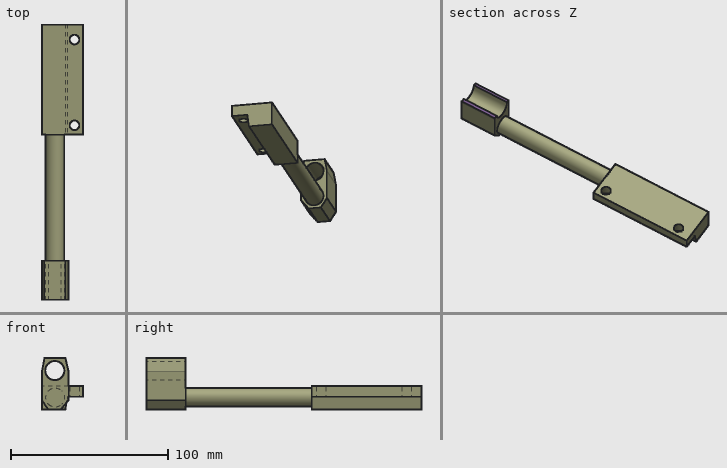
import cadquery as cq

overall_width = 26.24
overall_length = 175.0
overall_height = 32.78

head_length = 25.0
head_width = 17.0
top_taper_inset_left = 1.6
top_taper_inset_right = 2.0
top_taper_height = 8.5
bottom_chamfer_height = 6.0
bottom_chamfer_left = 4.0
bottom_chamfer_right = 5.0
head_bore_diameter = 12.0
head_bore_depth_below_top = 8.0

block_length = 70.0
block_height = 15.0
block_bottom_width = 15.0
block_width_under_flange = 16.24
flange_thickness = 7.0
mount_hole_diameter = 6.0
mount_hole_edge_distance = 5.5
mount_hole_front_distance = 6.0
mount_hole_back_distance = 9.5

rod_diameter = 12.0
axis_x = 8.24
rod_axis_z = 7.78

block_front = overall_length - block_length


def extrude_back(outline, start, length):
    """Extrude a closed XZ outline towards +Y, beginning at Y = start."""
    plane = cq.Workplane("XZ", origin=(0, start, 0))
    return plane.polyline(outline).close().extrude(-length)


def cylinder_back(diameter, z, start, length):
    """Make a cylinder along +Y on the common axis plane X = axis_x."""
    plane = cq.Workplane("XZ", origin=(axis_x, start, z))
    return plane.circle(diameter / 2).extrude(-length)


def make_head():
    taper_start = overall_height - top_taper_height
    outline = [
        (bottom_chamfer_left, 0),
        (head_width - bottom_chamfer_right, 0),
        (head_width, bottom_chamfer_height),
        (head_width, taper_start),
        (head_width - top_taper_inset_right, overall_height),
        (top_taper_inset_left, overall_height),
        (0, taper_start),
        (0, bottom_chamfer_height),
    ]
    bore_z = overall_height - head_bore_depth_below_top
    bore = cylinder_back(head_bore_diameter, bore_z, 0, head_length)
    return extrude_back(outline, 0, head_length).cut(bore)


def make_block():
    flange_bottom = block_height - flange_thickness
    outline = [
        (0, 0),
        (block_bottom_width, 0),
        (block_width_under_flange, flange_bottom),
        (overall_width, flange_bottom),
        (overall_width, block_height),
        (0, block_height),
    ]
    hole_x = overall_width - mount_hole_edge_distance
    hole_centers = [
        (hole_x, block_front + mount_hole_front_distance),
        (hole_x, overall_length - mount_hole_back_distance),
    ]
    holes = (
        cq.Workplane("XY")
        .pushPoints(hole_centers)
        .circle(mount_hole_diameter / 2)
        .extrude(block_height)
    )
    return extrude_back(outline, block_front, block_length).cut(holes)


def make_rod():
    rod_length = block_front - head_length
    return cylinder_back(rod_diameter, rod_axis_z, head_length, rod_length)


result = make_head().union(make_rod()).union(make_block())